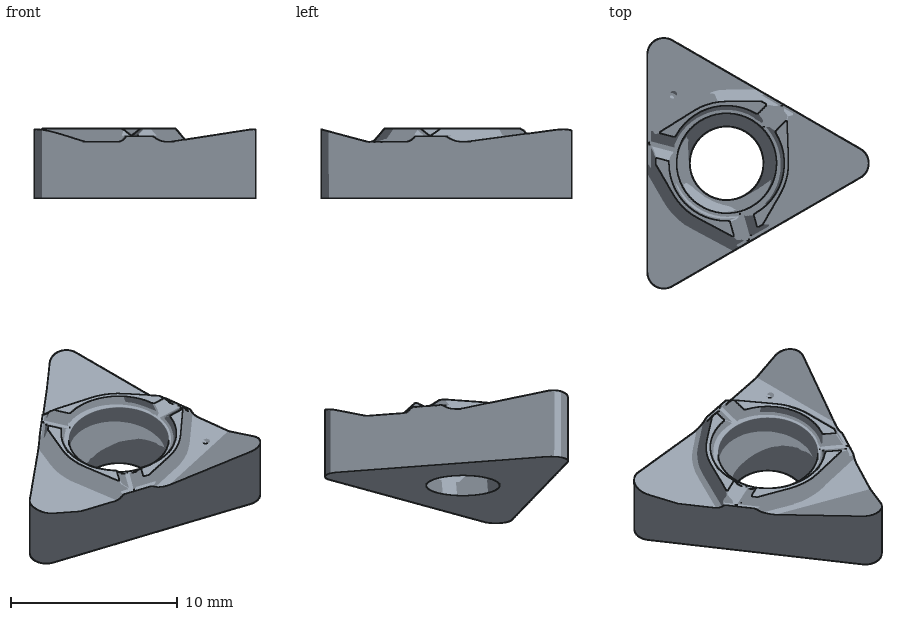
import cadquery as cq
import math


SECTORS = 3
SECTOR_ANGLE = 360 / SECTORS
INSCRIBED_RADIUS = 9.525 / 2
CORNER_RADIUS = 1.0
TOP_Z = 4.2
FLOOR_Z = 3.39

RAKE_ANGLE = math.radians(15)
RAKE_START = 4.71
RAKE_BLEND = 0.075

BOSS_TOP_RADIUS = 3.71
BOSS_NOSE_ANGLE = 32
BOSS_FLANK_LENGTH = 3.5
BOSS_WALL_ANGLE = math.radians(40)
BOSS_FOOT_RADIUS = 0.5

HOLE_RADIUS = 4.4 / 2
SEAT_START_Z = 0.85
SEAT_RADIUS = 2.22
SEAT_END_ANGLE = math.radians(45)
BORE_FILLET = 0.5
LEDGE_Z = 3.72
BORE_EDGE_ROUND = 0.03
SHELF_RADIUS = 3.28
SHELF_FILLET = 0.23
RIM_RADIUS = 3.46

GROOVE_HALF_WIDTH = 0.74
GROOVE_WALL_ANGLE = math.radians(51.5)
GROOVE_FILLET = 0.3
GROOVE_INNER_RADIUS = 2.6
GROOVE_LENGTH = 3.5
GROOVE_DIRECTION = 165.5

STEP_DEPTH = 0.255
STEP_WALL_ANGLE = math.radians(27)
STEP_FILLET = 0.25
STEP_HALF_LENGTH = 3.0

RELIEF_EDGE_ROUND = 0.1
RELIEF_EDGE_LOWEST_Z = LEDGE_Z + 0.1
RELIEF_EDGE_MIN_RISE = 0.05

DIMPLE_CENTRE = (-3.2, 4.11)
DIMPLE_RADIUS = 0.28
DIMPLE_ROUND = 0.12
DIMPLE_SLOPE = math.radians(50)

CLEARANCE = 0.5


def in_every_sector(shape):
    """Return one copy of the shape for each corner of the triangle."""
    copies = shape
    for index in range(1, SECTORS):
        copies = copies.union(shape.rotate((0, 0, 0), (0, 0, 1), index * SECTOR_ANGLE))
    return copies


def triangle_prism(height):
    """Triangle with rounded corners, one of them pointing along +X."""
    circumscribed_diameter = 2 * INSCRIBED_RADIUS / math.cos(math.pi / SECTORS)
    return (
        cq.Workplane("XY")
        .polygon(SECTORS, circumscribed_diameter)
        .extrude(height)
        .edges("|Z")
        .fillet(CORNER_RADIUS)
    )


def rake_wedge():
    """Block under the rake face of the +Y corner, with a concave blend at its start."""
    blend_radius = RAKE_BLEND / math.tan(RAKE_ANGLE / 2)
    blend_start = RAKE_START - RAKE_BLEND
    half = RAKE_ANGLE / 2
    mid_blend = (
        blend_start + blend_radius * math.sin(half),
        FLOOR_Z + blend_radius * (1 - math.cos(half)),
    )
    blend_end = (
        RAKE_START + RAKE_BLEND * math.cos(RAKE_ANGLE),
        FLOOR_Z + RAKE_BLEND * math.sin(RAKE_ANGLE),
    )
    reach = 2 * INSCRIBED_RADIUS
    return (
        cq.Workplane("YZ")
        .moveTo(blend_start, 0)
        .lineTo(blend_start, FLOOR_Z)
        .threePointArc(mid_blend, blend_end)
        .lineTo(reach, FLOOR_Z + (reach - RAKE_START) * math.tan(RAKE_ANGLE))
        .lineTo(reach, 0)
        .close()
        .extrude(reach, both=True)
    )


def boss_section():
    """Half section of the boss, from its axis to the foot of its sloping wall."""
    wall_base = BOSS_TOP_RADIUS + (TOP_Z - FLOOR_Z) * math.tan(BOSS_WALL_ANGLE)
    foot_turn = math.pi / 2 - BOSS_WALL_ANGLE
    tangent = BOSS_FOOT_RADIUS * math.tan(foot_turn / 2)
    foot_start = (
        wall_base - tangent * math.sin(BOSS_WALL_ANGLE),
        FLOOR_Z + tangent * math.cos(BOSS_WALL_ANGLE),
    )
    foot_end = wall_base + tangent
    mid_foot = (
        foot_end - BOSS_FOOT_RADIUS * math.sin(foot_turn / 2),
        FLOOR_Z + BOSS_FOOT_RADIUS * (1 - math.cos(foot_turn / 2)),
    )
    return (
        cq.Workplane("YZ")
        .lineTo(0, TOP_Z)
        .lineTo(BOSS_TOP_RADIUS, TOP_Z)
        .lineTo(*foot_start)
        .threePointArc(mid_foot, (foot_end, FLOOR_Z))
        .lineTo(foot_end, 0)
        .close()
    )


def boss_sector():
    """Two straight flanks of the boss and the round nose between them."""
    nose = boss_section().revolve(BOSS_NOSE_ANGLE, (0, 0), (0, 1))
    flank = boss_section().extrude(BOSS_FLANK_LENGTH)
    far_flank = boss_section().extrude(-BOSS_FLANK_LENGTH)
    far_flank = far_flank.rotate((0, 0, 0), (0, 0, 1), BOSS_NOSE_ANGLE)
    return nose.union(flank).union(far_flank)


def bore():
    """Through hole with a curved screw seat, a cylinder and a wide upper recess.

    The seam of the revolved faces is turned into a groove, so that the recess wall has none.
    """
    half_seat = SEAT_END_ANGLE / 2
    seat_centre = HOLE_RADIUS + SEAT_RADIUS
    seat_middle = (
        seat_centre - SEAT_RADIUS * math.cos(half_seat),
        SEAT_START_Z + SEAT_RADIUS * math.sin(half_seat),
    )
    seat_end = (
        seat_centre - SEAT_RADIUS * math.cos(SEAT_END_ANGLE),
        SEAT_START_Z + SEAT_RADIUS * math.sin(SEAT_END_ANGLE),
    )
    bore_radius = seat_end[0] + BORE_FILLET * (1 - math.cos(SEAT_END_ANGLE))
    bore_start_z = seat_end[1] + BORE_FILLET * math.sin(SEAT_END_ANGLE)
    fillet_middle = (
        bore_radius - BORE_FILLET * (1 - math.cos(half_seat)),
        bore_start_z - BORE_FILLET * math.sin(half_seat),
    )
    edge_inset = BORE_EDGE_ROUND * (1 - math.sqrt(0.5))
    edge_middle = (bore_radius + edge_inset, LEDGE_Z - edge_inset)

    wall_lean = math.atan2(RIM_RADIUS - SHELF_RADIUS, TOP_Z - LEDGE_Z)
    shelf_turn = math.pi / 2 - wall_lean
    tangent = SHELF_FILLET * math.tan(shelf_turn / 2)
    shelf_end = SHELF_RADIUS - tangent
    shelf_middle = (
        shelf_end + SHELF_FILLET * math.sin(shelf_turn / 2),
        LEDGE_Z + SHELF_FILLET * (1 - math.cos(shelf_turn / 2)),
    )
    wall_start = (
        SHELF_RADIUS + tangent * math.sin(wall_lean),
        LEDGE_Z + tangent * math.cos(wall_lean),
    )
    return (
        cq.Workplane("XZ")
        .lineTo(HOLE_RADIUS, 0)
        .lineTo(HOLE_RADIUS, SEAT_START_Z)
        .threePointArc(seat_middle, seat_end)
        .threePointArc(fillet_middle, (bore_radius, bore_start_z))
        .lineTo(bore_radius, LEDGE_Z - BORE_EDGE_ROUND)
        .threePointArc(edge_middle, (bore_radius + BORE_EDGE_ROUND, LEDGE_Z))
        .lineTo(shelf_end, LEDGE_Z)
        .threePointArc(shelf_middle, wall_start)
        .lineTo(RIM_RADIUS, TOP_Z)
        .lineTo(0, TOP_Z)
        .close()
        .revolve(360, (0, 0), (0, 1))
        .rotate((0, 0, 0), (0, 0, 1), GROOVE_DIRECTION)
    )


def radial_groove():
    """V groove with a narrow rounded floor, cut outwards through the boss."""
    depth = TOP_Z - LEDGE_Z
    spread = math.tan(GROOVE_WALL_ANGLE)
    floor_half = GROOVE_HALF_WIDTH - depth * spread
    top_half = GROOVE_HALF_WIDTH + CLEARANCE * spread
    top = TOP_Z + CLEARANCE
    blank = (
        cq.Workplane("YZ")
        .polyline([(-floor_half, LEDGE_Z), (floor_half, LEDGE_Z), (top_half, top), (-top_half, top)])
        .close()
        .extrude(GROOVE_LENGTH)
        .edges("|X and <Z")
        .fillet(GROOVE_FILLET)
    )
    return blank.translate((GROOVE_INNER_RADIUS, 0, 0)).rotate((0, 0, 0), (0, 0, 1), GROOVE_DIRECTION)


def side_step():
    """Step with a filleted, leaning wall, cut along the -X side of the boss."""
    outer = -INSCRIBED_RADIUS - CLEARANCE
    inner = -INSCRIBED_RADIUS + STEP_DEPTH
    top = TOP_Z + CLEARANCE
    lean = (top - LEDGE_Z) * math.tan(STEP_WALL_ANGLE)
    return (
        cq.Workplane("XZ")
        .polyline([(outer, LEDGE_Z), (inner, LEDGE_Z), (inner + lean, top), (outer, top)])
        .close()
        .extrude(STEP_HALF_LENGTH, both=True)
        .edges("|Y")
        .edges("<Z")
        .edges(">X")
        .fillet(STEP_FILLET)
    )


def dimple():
    """Shallow bowl with a rounded rim."""
    half = DIMPLE_SLOPE / 2
    bowl_edge = DIMPLE_RADIUS - DIMPLE_ROUND * math.sin(DIMPLE_SLOPE)
    bowl_edge_z = -DIMPLE_ROUND * (1 - math.cos(DIMPLE_SLOPE))
    rim_middle = (
        DIMPLE_RADIUS - DIMPLE_ROUND * math.sin(half),
        -DIMPLE_ROUND * (1 - math.cos(half)),
    )
    bowl_radius = bowl_edge / math.sin(DIMPLE_SLOPE)
    bottom_z = bowl_edge_z - bowl_radius * (1 - math.cos(DIMPLE_SLOPE))
    bowl_middle = (
        bowl_radius * math.sin(half),
        bottom_z + bowl_radius * (1 - math.cos(half)),
    )
    return (
        cq.Workplane("XZ")
        .lineTo(DIMPLE_RADIUS, 0)
        .threePointArc(rim_middle, (bowl_edge, bowl_edge_z))
        .threePointArc(bowl_middle, (0, bottom_z))
        .close()
        .revolve(360, (0, 0), (0, 1))
        .translate((*DIMPLE_CENTRE, FLOOR_Z))
    )


def is_relief_edge(edge):
    """Tell whether an edge is an upright corner between the reliefs cut into the boss."""
    middle = edge.positionAt(0.5)
    low = min(edge.startPoint().z, edge.endPoint().z)
    high = max(edge.startPoint().z, edge.endPoint().z)
    on_boss = math.hypot(middle.x, middle.y) < INSCRIBED_RADIUS
    return on_boss and low > RELIEF_EDGE_LOWEST_Z and high - low > RELIEF_EDGE_MIN_RISE


envelope = triangle_prism(TOP_Z + CLEARANCE)
raised_top = in_every_sector(rake_wedge().intersect(envelope)).union(in_every_sector(boss_sector()))
body = triangle_prism(FLOOR_Z).union(raised_top.intersect(envelope))

relieved = (
    body.cut(bore())
    .cut(in_every_sector(radial_groove()))
    .cut(in_every_sector(side_step()))
)
rounded = relieved.edges().filter(is_relief_edge).fillet(RELIEF_EDGE_ROUND)
result = rounded.cut(dimple())